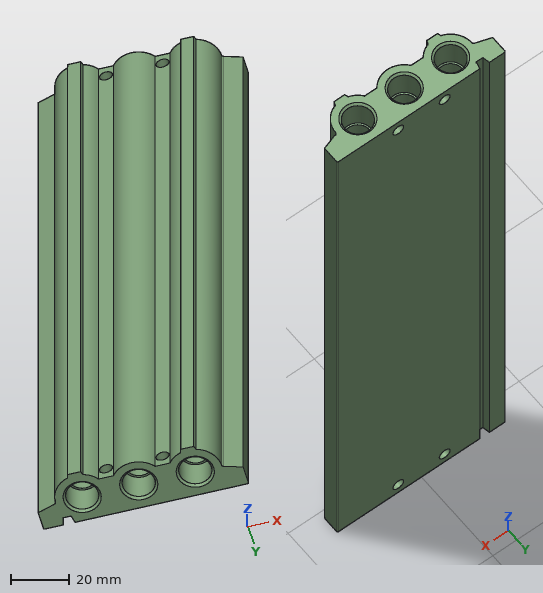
import cadquery as cq
import math

length = 242.0
width = 72.8
depth = 20.0

bore_pitch = 20.0
bore_centers = [-bore_pitch, 0.0, bore_pitch]
bore_diameter = 10.0
port_diameter = 11.4
port_depth = 12.0
port_mouth_diameter = 13.0

back_y = 9.7
front_y = back_y - depth
lobe_radius = 9.5
valley_y = -5.8
wing_edge_y = 2.5
wing_root_y = 0.2
corner_radius = 0.5
root_radius = 0.7
pad_root_width = 5.5
pad_face_width = 4.5

groove_x = -27.3
groove_mouth_width = 4.0
groove_floor_width = 3.0
groove_depth = 3.0

mount_hole_diameter = 4.5
mount_hole_x = bore_pitch / 2
mount_hole_inset = 5.0


def wing_root_x():
    """Distance from the middle of the part to where a wing meets its lobe."""
    return bore_pitch + math.sqrt(lobe_radius**2 - wing_root_y**2)


def wing_root_edges():
    """Selects the two long inside corners between the wings and the outer lobes."""
    left = cq.selectors.NearestToPointSelector((-wing_root_x(), wing_root_y, length / 2))
    right = cq.selectors.NearestToPointSelector((wing_root_x(), wing_root_y, length / 2))
    return left + right


def make_plate():
    """Flat back of the extrusion, with sloping wing undersides and rounded back corners."""
    side = width / 2
    root_x = wing_root_x()
    outline = [
        (-side, back_y),
        (-side, wing_edge_y),
        (-root_x, wing_root_y),
        (-bore_pitch, valley_y),
        (bore_pitch, valley_y),
        (root_x, wing_root_y),
        (side, wing_edge_y),
        (side, back_y),
    ]
    plate = cq.Workplane("XY").polyline(outline).close().extrude(length)
    return plate.edges("|Z and >Y").fillet(corner_radius)


def add_lobes(body):
    """Round bore walls, the outer two with a tapered flat pad along the front."""
    for x in bore_centers:
        body = body.union(cq.Workplane("XY").center(x, 0).circle(lobe_radius).extrude(length))
    body = body.edges(wing_root_edges()).fillet(root_radius)
    pad_root_y = -math.sqrt(lobe_radius**2 - (pad_root_width / 2) ** 2)
    pad_section = [
        (0, 0),
        (-pad_root_width / 2, pad_root_y),
        (-pad_face_width / 2, front_y),
        (pad_face_width / 2, front_y),
        (pad_root_width / 2, pad_root_y),
    ]
    pad = cq.Workplane("XY").polyline(pad_section).close().extrude(length)
    for x in (-bore_pitch, bore_pitch):
        body = body.union(pad.translate((x, 0, 0)))
    return body


def cut_groove(body):
    """Tapered groove along the full length of the back face."""
    floor_y = back_y - groove_depth
    section = [
        (groove_x - groove_mouth_width / 2, back_y),
        (groove_x - groove_floor_width / 2, floor_y),
        (groove_x + groove_floor_width / 2, floor_y),
        (groove_x + groove_mouth_width / 2, back_y),
    ]
    return body.cut(cq.Workplane("XY").polyline(section).close().extrude(length))


def cut_bores(body):
    """Through bores, widened to chamfered ports at both ends."""
    bore_radius = bore_diameter / 2
    port_radius = port_diameter / 2
    mouth_radius = port_mouth_diameter / 2
    chamfer = mouth_radius - port_radius
    half_section = [
        (0, 0),
        (mouth_radius, 0),
        (port_radius, chamfer),
        (port_radius, port_depth),
        (bore_radius, port_depth),
        (bore_radius, length - port_depth),
        (port_radius, length - port_depth),
        (port_radius, length - chamfer),
        (mouth_radius, length),
        (0, length),
    ]
    cutter = cq.Workplane("XZ").polyline(half_section).close().revolve(360, (0, 0, 0), (0, 1, 0))
    for x in bore_centers:
        body = body.cut(cutter.translate((x, 0, 0)))
    return body


def cut_mount_holes(body):
    """Four holes through the thickness, two near each end."""
    places = [
        (x, z)
        for x in (-mount_hole_x, mount_hole_x)
        for z in (mount_hole_inset, length - mount_hole_inset)
    ]
    holes = (
        cq.Workplane("XZ", origin=(0, back_y, 0))
        .pushPoints(places)
        .circle(mount_hole_diameter / 2)
        .extrude(depth)
    )
    return body.cut(holes)


body = add_lobes(make_plate())
body = cut_groove(body)
body = cut_bores(body)
result = cut_mount_holes(body)